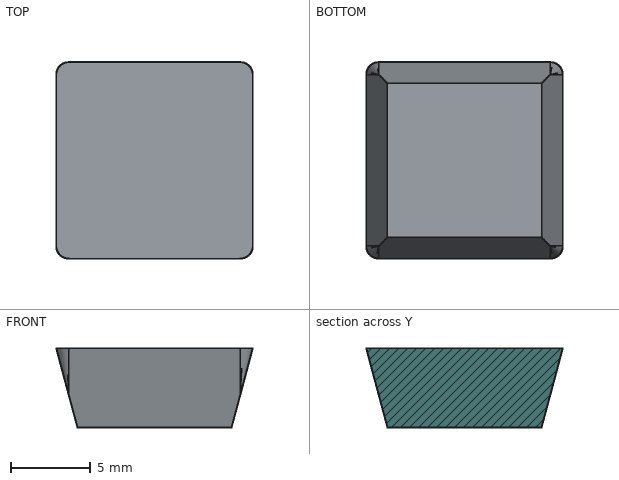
import cadquery as cq
import math

width = 12.38
thickness = 5.0
relief_angle = 15.0
corner_radius = 0.8

corner_depth = corner_radius / math.tan(math.radians(relief_angle))
corner_center = width / 2 - corner_radius


def sharp_body():
    """Square frustum with its large face on top."""
    body = cq.Workplane("XY").rect(width, width).extrude(-thickness, taper=relief_angle)
    return body.translate((0, 0, thickness))


def corner_block(x_side, y_side):
    """Square column holding the sharp corner above the cone's tip."""
    return (
        cq.Workplane("XY", origin=(0, 0, thickness - corner_depth))
        .center(x_side * width / 2, y_side * width / 2)
        .rect(2 * corner_radius, 2 * corner_radius)
        .extrude(corner_depth)
    )


def corner_cone(x_side, y_side):
    """Cone tangent to both flanks, its tip on the sharp lower edge."""
    tip = cq.Vector(x_side * corner_center, y_side * corner_center, thickness - corner_depth)
    cone = cq.Solid.makeCone(0, corner_radius, corner_depth, pnt=tip, dir=cq.Vector(0, 0, 1))
    return cq.Workplane(obj=cone)


result = sharp_body()
for x_side in (-1, 1):
    for y_side in (-1, 1):
        result = result.cut(corner_block(x_side, y_side))
        result = result.union(corner_cone(x_side, y_side))
result = result.clean()